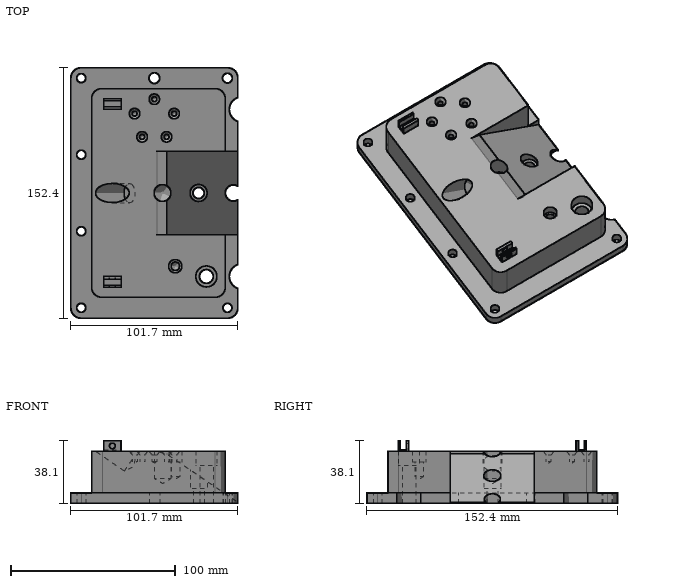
import cadquery as cq
import math


flange_x, flange_y, flange_z = 101.7, 152.4, 6.4
body_left, body_right = 12.6, 94.0
body_y = 127.0
body_top = 31.7
corner_r = 6.4

hole_inset = 6.4
flange_hole_d = 5.3
back_right_hole_d = 5.8
back_middle_hole_d = 6.4
left_hole_count = 4
side_notch_r, side_notch_x, side_notch_y = 7.6, 104.1, 50.7
middle_notch_r, middle_notch_x = 4.9, 98.9

recess_x, recess_half_y = 52.5, 25.5
bevel_end_x, bevel_end_z = 58.4, 30.0
ramp_end_z = 0.6

recess_drill_x, recess_drill_d, recess_drill_floor = 55.8, 10.2, 15.2
ramp_bolt_x, ramp_bolt_d, ramp_bolt_head_d, ramp_bolt_floor = 77.7, 6.7, 10.4, 9.1

bore_d, bore_tilt = 11.6, 34.5
bore_start_x = 15.1
bore_length = 21.0

ring_x, ring_y, ring_r, ring_count = flange_x / 2, 44.3, 12.6, 5
sink_d, sink_depth = 6.4, 2.1
pilot_d, pilot_depth = 3.0, 6.1

blind_x, blind_y = 63.5, -44.5
blind_d, blind_head_d, blind_head_depth, blind_depth = 5.2, 8.1, 6.4, 15.2
through_x, through_y = 82.5, -50.7
through_d, through_head_d, through_head_depth = 8.2, 12.8, 8.5

bracket_x, bracket_length = 20.0, 10.7
bracket_inner_y, bracket_width, bracket_height = 50.7, 6.4, 6.4
inner_wall, outer_wall, bracket_floor = 1.7, 1.2, 0.9
pin_x, pin_d = 25.3, 3.5

drill_half_angle = math.radians(59)
clear = 1.5


def cylinder(x, y, bottom, top, diameter):
    """Upright cylinder between two heights."""
    return cq.Workplane("XY", origin=(x, y, bottom)).circle(diameter / 2).extrude(top - bottom)


def drill(x, y, floor, top, diameter):
    """Upright drill cutter with a conical tip below its full-diameter floor."""
    radius = diameter / 2
    tip = floor - radius / math.tan(drill_half_angle)
    half_section = [(0, tip), (radius, floor), (radius, top), (0, top)]
    return (
        cq.Workplane("XZ").polyline(half_section).close()
        .revolve(360, (0, 0), (0, 1)).translate((x, y, 0))
    )


def rounded_block(left, right, width, height):
    block = cq.Workplane("XY").box(right - left, width, height, centered=(False, True, False))
    return block.edges("|Z").fillet(corner_r).translate((left, 0, 0))


def cut_flange_openings(part):
    hole_y = flange_y / 2 - hole_inset
    right_x = flange_x - hole_inset
    spacing = 2 * hole_y / (left_hole_count - 1)
    openings = [(hole_inset, -hole_y + i * spacing, flange_hole_d) for i in range(left_hole_count)]
    openings += [
        (right_x, -hole_y, flange_hole_d),
        (right_x, hole_y, back_right_hole_d),
        (flange_x / 2, hole_y, back_middle_hole_d),
        (side_notch_x, -side_notch_y, 2 * side_notch_r),
        (side_notch_x, side_notch_y, 2 * side_notch_r),
        (middle_notch_x, 0, 2 * middle_notch_r),
    ]
    for x, y, diameter in openings:
        part = part.cut(cylinder(x, y, -clear, flange_z + clear, diameter))
    return part


def cut_recess(part):
    profile = [
        (recess_x, body_top), (bevel_end_x, bevel_end_z), (flange_x, ramp_end_z),
        (flange_x + clear, ramp_end_z), (flange_x + clear, body_top + clear),
        (recess_x, body_top + clear),
    ]
    part = part.cut(cq.Workplane("XZ").polyline(profile).close().extrude(recess_half_y, both=True))
    part = part.cut(drill(recess_drill_x, 0, recess_drill_floor, body_top + clear, recess_drill_d))
    part = part.cut(cylinder(ramp_bolt_x, 0, ramp_bolt_floor, body_top, ramp_bolt_head_d))
    return part.cut(cylinder(ramp_bolt_x, 0, -clear, body_top, ramp_bolt_d))


def cut_tilted_bore(part):
    """Drill down to the right; the upright cutter is tipped over about its lowest point at the mouth."""
    radius = bore_d / 2
    overshoot = bore_d / math.tan(math.radians(bore_tilt)) + clear
    bore = drill(radius, 0, -bore_length, overshoot, bore_d)
    bore = bore.rotate((0, 0, 0), (0, 1, 0), bore_tilt - 90)
    return part.cut(bore.translate((bore_start_x, 0, body_top)))


def cut_hole_ring(part):
    for i in range(ring_count):
        angle = math.radians(90 + i * 360 / ring_count)
        x = ring_x + ring_r * math.cos(angle)
        y = ring_y + ring_r * math.sin(angle)
        sink = cq.Solid.makeCone(
            pilot_d / 2, sink_d / 2, sink_depth, cq.Vector(x, y, body_top - sink_depth)
        )
        part = part.cut(cq.Workplane(sink))
        part = part.cut(drill(x, y, body_top - pilot_depth, body_top, pilot_d))
    return part


def cut_stepped_holes(part):
    part = part.cut(cylinder(blind_x, blind_y, body_top - blind_head_depth, body_top, blind_head_d))
    part = part.cut(drill(blind_x, blind_y, body_top - blind_depth, body_top, blind_d))
    head_floor = body_top - through_head_depth
    part = part.cut(cylinder(through_x, through_y, head_floor, body_top, through_head_d))
    return part.cut(cylinder(through_x, through_y, -clear, body_top, through_d))


def back_bracket():
    """U-shaped fork, its thinner wall on the outside."""
    fork = cq.Workplane("XY").box(bracket_length, bracket_width, bracket_height, centered=False)
    slot = cq.Workplane("XY").box(
        bracket_length, bracket_width - inner_wall - outer_wall, bracket_height, centered=False
    ).translate((0, inner_wall, bracket_floor))
    return fork.cut(slot).translate((bracket_x, bracket_inner_y, body_top))


def front_bracket():
    """Mirror of the back fork, with a pin hole through both walls."""
    pin_z = body_top + bracket_height / 2
    pin = (
        cq.Workplane("XZ", origin=(pin_x, -bracket_inner_y, pin_z))
        .circle(pin_d / 2).extrude(bracket_width)
    )
    return back_bracket().mirror("XZ").cut(pin)


part = rounded_block(0, flange_x, flange_y, flange_z)
part = part.union(rounded_block(body_left, body_right, body_y, body_top))
part = cut_flange_openings(part)
part = cut_recess(part)
part = cut_tilted_bore(part)
part = cut_hole_ring(part)
part = cut_stepped_holes(part)
result = part.union(back_bracket()).union(front_bracket())